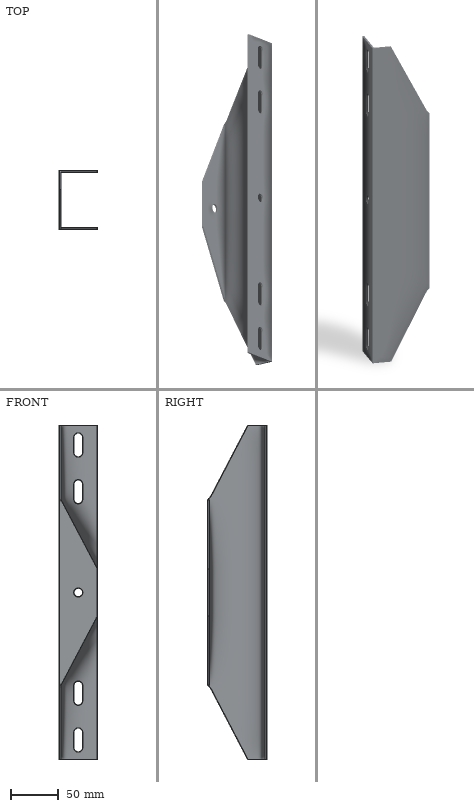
import cadquery as cq

LENGTH = 350.0
DEPTH = 40.0
WIDTH = 62.0
SHEET = 2.0
BEND_WIDTH = 3.0

WEB_HALF_HEIGHT = 100.2
CORNER_HALF_HEIGHT = 97.0
TIP_HALF_HEIGHT = 24.8
WEB_END_WIDTH = 20.0

HOLE_DIAMETER = 9.0
SLOT_LENGTH = 25.0
SLOT_OFFSETS = (105.5, 154.5)

HALF_LENGTH = LENGTH / 2
FRONT_Y = -WIDTH / 2
BACK_Y = WIDTH / 2
HOLE_X = DEPTH / 2


def make_web():
    """Plate tapering at both ends towards the back, with a gentler slope across the front bend."""
    end_y = BACK_Y - WEB_END_WIDTH
    bend_y = FRONT_Y + BEND_WIDTH
    outline = [
        (BACK_Y, HALF_LENGTH),
        (end_y, HALF_LENGTH),
        (bend_y, WEB_HALF_HEIGHT),
        (FRONT_Y, CORNER_HALF_HEIGHT),
        (FRONT_Y, -CORNER_HALF_HEIGHT),
        (bend_y, -WEB_HALF_HEIGHT),
        (end_y, -HALF_LENGTH),
        (BACK_Y, -HALF_LENGTH),
    ]
    return cq.Workplane("YZ").polyline(outline).close().extrude(SHEET)


def make_front_flange():
    """Plate that narrows from the inner face of the web to its free edge."""
    outline = [
        (0, CORNER_HALF_HEIGHT),
        (SHEET, CORNER_HALF_HEIGHT),
        (DEPTH, TIP_HALF_HEIGHT),
        (DEPTH, -TIP_HALF_HEIGHT),
        (SHEET, -CORNER_HALF_HEIGHT),
        (0, -CORNER_HALF_HEIGHT),
    ]
    plane = cq.Workplane("XZ", origin=(0, FRONT_Y, 0))
    return plane.polyline(outline).close().extrude(-SHEET)


def make_back_flange():
    """Full-length rectangular plate."""
    plane = cq.Workplane("XZ", origin=(DEPTH / 2, BACK_Y, 0))
    return plane.rect(DEPTH, LENGTH).extrude(SHEET)


def make_slots():
    """Upright slot cutters through the back flange, mirrored about Z = 0."""
    centres = [(HOLE_X, side * offset) for side in (1, -1) for offset in SLOT_OFFSETS]
    plane = cq.Workplane("XZ", origin=(0, BACK_Y, 0))
    return plane.pushPoints(centres).slot2D(SLOT_LENGTH, HOLE_DIAMETER, 90).extrude(SHEET)


def make_centre_hole():
    """Round cutter through both flanges at mid height."""
    plane = cq.Workplane("XZ", origin=(HOLE_X, BACK_Y, 0))
    return plane.circle(HOLE_DIAMETER / 2).extrude(WIDTH)


channel = make_web().union(make_front_flange()).union(make_back_flange())
result = channel.cut(make_slots()).cut(make_centre_hole())